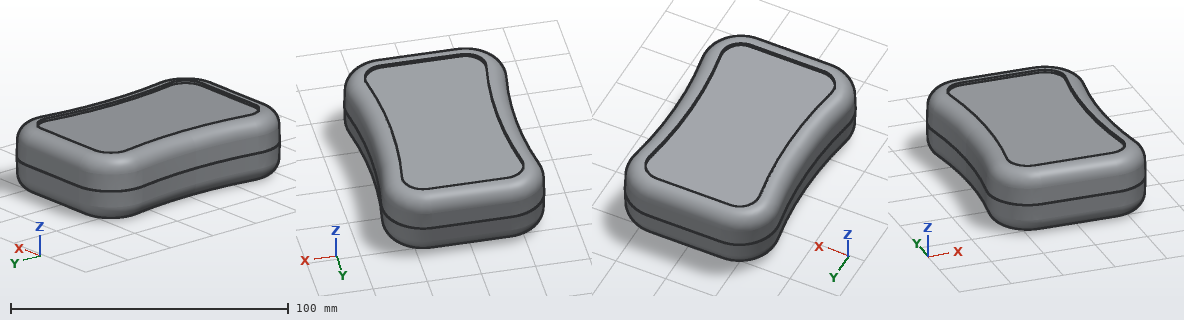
import cadquery as cq
import math

length = 90.0
width = 59.5
height = 24.2
waist_width = 54.2
corner_radius = 15.0
parting_gap = 0.2
draft_angle = 2.0
edge_radius = 6.0
rim_width = 1.3
recess_depth = 1.0

shell_height = (height - parting_gap) / 2
corner_x = width / 2 - corner_radius
corner_y = length / 2 - corner_radius
waist_x = waist_width / 2

waist_inset = waist_x - corner_x
side_radius = (waist_inset**2 + corner_y**2 - corner_radius**2) / (2 * (corner_radius - waist_inset))
tangent_angle = math.asin(corner_y / (side_radius + corner_radius))

draft = math.radians(draft_angle)
wall_lean = shell_height * math.tan(draft)
edge_setback = edge_radius * math.tan((math.pi / 2 - draft) / 2)
recess_inset = wall_lean + edge_setback + rim_width


def corner_point(angle, inset):
    """Point on the +X +Y corner arc, at an angle measured from the +X direction."""
    radius = corner_radius - inset
    return corner_x + radius * math.cos(angle), corner_y + radius * math.sin(angle)


def half_side_midpoint(inset):
    """X and Y distances from the centre to the middle of one half of a concave side arc."""
    radius = side_radius + inset
    half_angle = tangent_angle / 2
    x = waist_x + side_radius - radius * math.cos(half_angle)
    return x, radius * math.sin(half_angle)


def waisted_outline(inset=0.0):
    """Closed rounded outline with concave long sides, moved inward by an inset."""
    waist = waist_x - inset
    end_y = length / 2 - inset
    side_x, side_y = corner_point(-tangent_angle, inset)
    bulge_x, bulge_y = corner_point((math.pi / 2 - tangent_angle) / 2, inset)
    arc_x, arc_y = half_side_midpoint(inset)
    return (
        cq.Workplane("XY")
        .moveTo(-waist, 0)
        .threePointArc((-arc_x, arc_y), (-side_x, side_y))
        .threePointArc((-bulge_x, bulge_y), (-corner_x, end_y))
        .lineTo(corner_x, end_y)
        .threePointArc((bulge_x, bulge_y), (side_x, side_y))
        .threePointArc((waist, 0), (side_x, -side_y))
        .threePointArc((bulge_x, -bulge_y), (corner_x, -end_y))
        .lineTo(-corner_x, -end_y)
        .threePointArc((-bulge_x, -bulge_y), (-side_x, -side_y))
        .threePointArc((-arc_x, -arc_y), (-waist, 0))
        .close()
    )


def rounded_shell():
    """Drafted half with a rounded outer edge, its joint face at Z = 0."""
    drafted_block = waisted_outline().extrude(shell_height, taper=draft_angle)
    return drafted_block.faces(">Z").edges().fillet(edge_radius)


def make_top_shell():
    """Upper half, with a shallow recess in its top face."""
    recess = waisted_outline(recess_inset).extrude(recess_depth)
    shell = rounded_shell().cut(recess.translate((0, 0, shell_height - recess_depth)))
    return shell.translate((0, 0, parting_gap / 2))


def make_bottom_shell():
    """Lower half, with a plain underside."""
    return rounded_shell().mirror("XY").translate((0, 0, -parting_gap / 2))


top_shell = make_top_shell()
bottom_shell = make_bottom_shell()

result = cq.Compound.makeCompound([top_shell.val(), bottom_shell.val()])